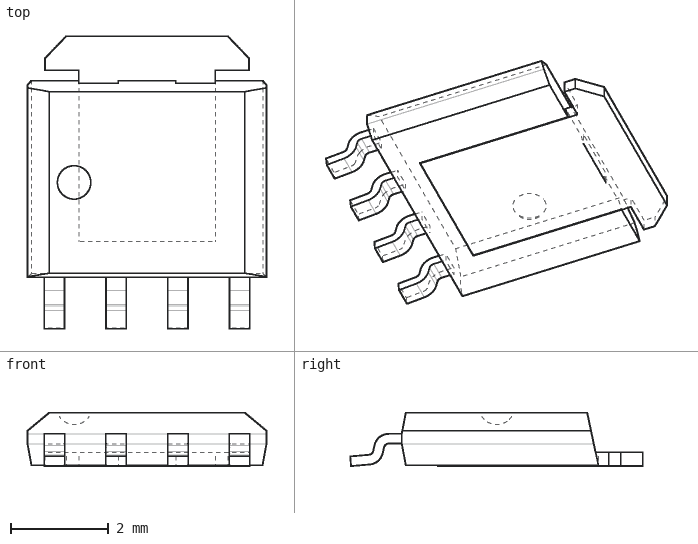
import cadquery as cq
import math


body_width = 4.9
body_top_width = 4.01
body_bottom_width = 4.74
body_bottom = 0.02
body_top = 1.1
side_band_bottom = 0.46
side_band_top = 0.725
front_band_top = 0.665
body_front = 1.055
front_taper = 0.085
body_back_bottom = 5.09
body_back_top = 4.86

dimple_radius = 0.34
dimple_depth = 0.24
dimple_x = -1.495
dimple_y = 3.0

tab_back = 6.0
tab_height = 0.29
tab_width = 4.18
tab_back_width = 3.305
tab_shoulder = 5.545
tab_ear_front = 5.3
pad_width = 2.8
pad_front = 1.795
notch_width = 1.19

lead_count = 4
lead_pitch = 1.265
lead_width = 0.42
lead_thickness = front_band_top - side_band_bottom
lead_embed = 0.18
first_bend_y = 0.79
inner_radius = 0.095
outer_radius = inner_radius + lead_thickness
riser_angle = math.radians(77)
foot_angle = math.radians(5)


def mirrored_outline(plane, right_side):
    """Close an outline from its right-hand points and their mirror images."""
    left_side = [(-x, v) for x, v in reversed(right_side)]
    return cq.Workplane(plane).polyline(right_side + left_side).close()


def make_body():
    """Intersect the front profile with the side profile, so every wall has its own taper."""
    front_profile = mirrored_outline("XZ", [
        (body_bottom_width / 2, body_bottom),
        (body_width / 2, side_band_bottom),
        (body_width / 2, side_band_top),
        (body_top_width / 2, body_top),
    ]).extrude(-tab_back)
    side_profile = (
        cq.Workplane("YZ")
        .polyline([
            (body_front + front_taper, body_bottom),
            (body_front, side_band_bottom),
            (body_front, front_band_top),
            (body_front + front_taper, body_top),
            (body_back_top, body_top),
            (body_back_bottom, body_bottom),
        ])
        .close()
        .extrude(body_width / 2, both=True)
    )
    return front_profile.intersect(side_profile)


def make_tab():
    """Make the eared tab and pad, with its top relieved where the body runs down into it."""
    tab = mirrored_outline("XY", [
        (pad_width / 2, pad_front),
        (pad_width / 2, tab_ear_front),
        (tab_width / 2, tab_ear_front),
        (tab_width / 2, tab_shoulder),
        (tab_back_width / 2, tab_back),
    ]).extrude(tab_height)
    notch = cq.Workplane("XY").box(
        notch_width, body_back_bottom - pad_front, tab_height, centered=(True, False, False)
    ).translate((0, pad_front, body_bottom))
    return tab.cut(notch)


def along(point, angle, distance):
    """Move forward and down by a distance along a lead direction."""
    return (point[0] - distance * math.cos(angle), point[1] - distance * math.sin(angle))


def across(point, angle, distance):
    """Move square to a lead direction, towards its upper face."""
    return (point[0] - distance * math.sin(angle), point[1] + distance * math.cos(angle))


def make_lead():
    """Sweep out one lead in the YZ plane: shank, bend, riser, reverse bend and sloping foot."""
    upper_centre = (first_bend_y, side_band_bottom - inner_radius)
    start_y, start_z = across(upper_centre, riser_angle, inner_radius + outer_radius)
    foot_slope = math.tan(foot_angle)
    foot_run = start_y + inner_radius * math.sin(foot_angle)
    drop = start_z - outer_radius * math.cos(foot_angle) - foot_slope * foot_run
    riser_length = drop / (math.sin(riser_angle) - foot_slope * math.cos(riser_angle))
    lower_centre = along((start_y, start_z), riser_angle, riser_length)
    foot_length = (lower_centre[0] + inner_radius * math.sin(foot_angle)) / math.cos(foot_angle)

    upper_middle = riser_angle / 2
    lower_middle = (riser_angle + foot_angle) / 2
    foot_top = across(lower_centre, foot_angle, -inner_radius)
    foot_bottom = across(lower_centre, foot_angle, -outer_radius)
    root_y = body_front + lead_embed
    profile = (
        cq.Workplane("YZ")
        .moveTo(root_y, front_band_top)
        .lineTo(first_bend_y, front_band_top)
        .threePointArc(across(upper_centre, upper_middle, outer_radius),
                       across(upper_centre, riser_angle, outer_radius))
        .lineTo(*across(lower_centre, riser_angle, -inner_radius))
        .threePointArc(across(lower_centre, lower_middle, -inner_radius), foot_top)
        .lineTo(*along(foot_top, foot_angle, foot_length))
        .lineTo(*along(foot_bottom, foot_angle, foot_length))
        .lineTo(*foot_bottom)
        .threePointArc(across(lower_centre, lower_middle, -outer_radius),
                       across(lower_centre, riser_angle, -outer_radius))
        .lineTo(*across(upper_centre, riser_angle, inner_radius))
        .threePointArc(across(upper_centre, upper_middle, inner_radius),
                       (first_bend_y, side_band_bottom))
        .lineTo(root_y, side_band_bottom)
        .close()
    )
    return profile.extrude(lead_width / 2, both=True)


result = make_body().union(make_tab())

lead = make_lead()
for index in range(lead_count):
    lead_x = (index - (lead_count - 1) / 2) * lead_pitch
    result = result.union(lead.translate((lead_x, 0, 0)))

ball_radius = (dimple_radius ** 2 + dimple_depth ** 2) / (2 * dimple_depth)
ball_centre = (dimple_x, dimple_y, body_top - dimple_depth + ball_radius)
dimple = cq.Workplane("YZ").sphere(ball_radius).translate(ball_centre)
result = result.cut(dimple)